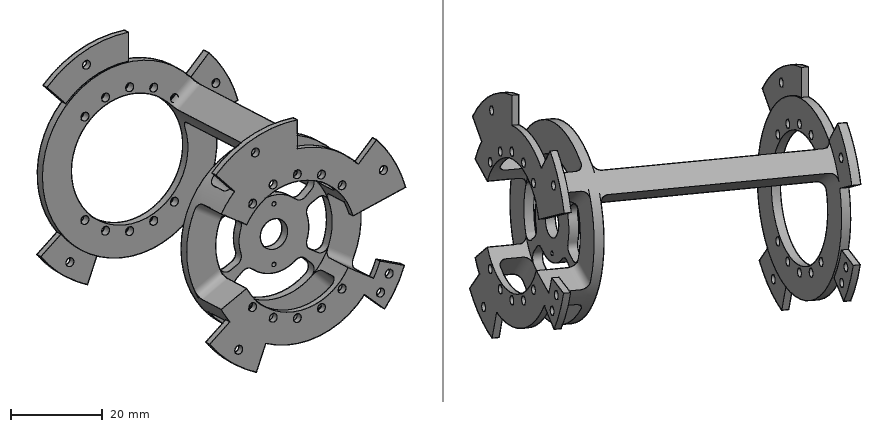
import cadquery as cq
import math

TOTAL_LENGTH = 71.0
END_RING_THICKNESS = 2.2
TAB_THICKNESS = 1.7
DISC_START = 59.0
DISC_THICKNESS = 2.4
DISC_END = DISC_START + DISC_THICKNESS
PLATE_START = TOTAL_LENGTH - TAB_THICKNESS

RING_INNER_RADIUS = 15.0
RING_OUTER_RADIUS = 22.5
TAB_RADIUS = 29.2

TAB_A = (44.0, 90.0, (65.4,))
TAB_B = (134.4, 163.1, (148.7,))
TAB_C = (199.0, 219.6, (204.3, 214.3))
TAB_D = (291.2, 320.7, (305.5,))
TAB_HOLE_CIRCLE = 26.0
TAB_HOLE_DIAMETER = 2.0

RING_HOLE_CIRCLE = 16.6
RING_HOLE_DIAMETER = 2.0
RING_HOLE_PITCH = 22.0
RING_HOLES_PER_GROUP = 5

BORE_DIAMETER = 7.0
PIN_HOLE_DIAMETER = 1.0
PIN_HOLE_CIRCLE = 7.0
HUB_RADIUS = 9.0
WINDOW_FILLET = 2.0

SPOKE_LOW = 29.3
SPOKE_HIGH = 41.4
LONG_BEAM_START = 139.3
LONG_BEAM_END = 154.1
BEAM_FILLET = 2.0
ROOT_OVERLAP = 0.5
BLANK_RADIUS = RING_OUTER_RADIUS + 3


def polar(radius, angle):
    """Point in the cross-section: first coordinate along -Y, second along +Z."""
    return (radius * math.cos(math.radians(angle)), radius * math.sin(math.radians(angle)))


def section_plane(x):
    """Workplane normal to X whose local axes are -Y and +Z; it extrudes towards -X."""
    return cq.Workplane(cq.Plane(origin=(x, 0, 0), xDir=(0, -1, 0), normal=(-1, 0, 0)))


def sector(x_start, x_end, inner, outer, start, end):
    """Annular sector spanning x_start to x_end."""
    middle = (start + end) / 2
    return (
        section_plane(x_end)
        .moveTo(*polar(inner, start))
        .lineTo(*polar(outer, start))
        .threePointArc(polar(outer, middle), polar(outer, end))
        .lineTo(*polar(inner, end))
        .threePointArc(polar(inner, middle), polar(inner, start))
        .close()
        .extrude(x_end - x_start)
    )


def cylinders(x_start, x_end, diameter, points):
    return section_plane(x_end).pushPoints(points).circle(diameter / 2).extrude(x_end - x_start)


def ring(x_start, x_end):
    return (
        section_plane(x_end)
        .circle(RING_OUTER_RADIUS)
        .circle(RING_INNER_RADIUS)
        .extrude(x_end - x_start)
    )


def tab(x_start, x_end, spec, inner=RING_INNER_RADIUS):
    start, end, hole_angles = spec
    holes = [polar(TAB_HOLE_CIRCLE, angle) for angle in hole_angles]
    body = sector(x_start, x_end, inner, TAB_RADIUS, start, end)
    return body.cut(cylinders(x_start, x_end, TAB_HOLE_DIAMETER, holes))


def ring_holes(x_start, x_end):
    half_span = RING_HOLE_PITCH * (RING_HOLES_PER_GROUP - 1) / 2
    points = []
    for group_centre in (90, 270):
        for index in range(RING_HOLES_PER_GROUP):
            angle = group_centre - half_span + index * RING_HOLE_PITCH
            points.append(polar(RING_HOLE_CIRCLE, angle))
    return cylinders(x_start, x_end, RING_HOLE_DIAMETER, points)


def fillet_wedge(x_face, x_sign, angle, side):
    """Concave fillet where a radial beam face meets a plate face at x_face."""
    tangent = (-side * math.sin(math.radians(angle)), side * math.cos(math.radians(angle)))
    radial = polar(1, angle)
    x_dir = (0, -tangent[0], tangent[1])
    normal = (0, -radial[0], radial[1])
    plane = cq.Plane(origin=(x_face, 0, 0), xDir=x_dir, normal=normal)
    along = x_sign if plane.yDir.x > 0 else -x_sign
    corner = BEAM_FILLET * (1 - math.sqrt(0.5))
    wedge = (
        cq.Workplane(plane)
        .moveTo(BEAM_FILLET, 0)
        .threePointArc((corner, along * corner), (0, along * BEAM_FILLET))
        .lineTo(-ROOT_OVERLAP, along * BEAM_FILLET)
        .lineTo(-ROOT_OVERLAP, -along * ROOT_OVERLAP)
        .lineTo(BEAM_FILLET, -along * ROOT_OVERLAP)
        .close()
        .extrude(BLANK_RADIUS)
    )
    return wedge


def beam(x_start, x_end, start, end, fillets):
    """Radial-sided beam trimmed to the ring's inner and outer radii."""
    blank = (
        section_plane(x_end)
        .polyline([(0, 0), polar(BLANK_RADIUS, start), polar(BLANK_RADIUS, end)])
        .close()
        .extrude(x_end - x_start)
    )
    for x_face, x_sign, angle, side in fillets:
        blank = blank.union(fillet_wedge(x_face, x_sign, angle, side))
    return blank.intersect(ring(x_start, x_end))


def end_ring():
    body = ring(0, END_RING_THICKNESS)
    body = body.union(tab(0, END_RING_THICKNESS, TAB_B))
    for spec in (TAB_A, TAB_C, TAB_D):
        body = body.union(tab(0, TAB_THICKNESS, spec))
    return body.cut(ring_holes(0, END_RING_THICKNESS))


def window(start, end):
    body = sector(DISC_START, DISC_END, HUB_RADIUS, RING_INNER_RADIUS, start, end)
    return body.edges("|X").fillet(WINDOW_FILLET)


def middle_disc():
    body = section_plane(DISC_END).circle(RING_OUTER_RADIUS).extrude(DISC_THICKNESS)
    for centre, half in ((0, SPOKE_LOW), (90, 90 - SPOKE_HIGH), (180, SPOKE_LOW), (270, 90 - SPOKE_HIGH)):
        body = body.cut(window(centre - half, centre + half))
    body = body.cut(cylinders(DISC_START, DISC_END, BORE_DIAMETER, [(0, 0)]))
    pins = [(0, PIN_HOLE_CIRCLE), (0, -PIN_HOLE_CIRCLE)]
    return body.cut(cylinders(DISC_START, DISC_END, PIN_HOLE_DIAMETER, pins))


def long_beam():
    fillets = []
    for x_face, x_sign in ((END_RING_THICKNESS, 1), (DISC_START, -1)):
        fillets.append((x_face, x_sign, LONG_BEAM_START, -1))
        fillets.append((x_face, x_sign, LONG_BEAM_END, 1))
    return beam(END_RING_THICKNESS, DISC_START, LONG_BEAM_START, LONG_BEAM_END, fillets)


def short_beam(start, end, plate_fillet):
    """Beam from the disc to the end of the part, above the middle of the disc."""
    fillets = [(DISC_END, 1, start, -1), (DISC_END, 1, end, 1), plate_fillet]
    return beam(DISC_END, TOTAL_LENGTH, start, end, fillets)


def mount_half():
    """Upper arc of the mounting plate with the two short beams that carry it."""
    arc_end = 180 - SPOKE_LOW
    beam_end = 180 - SPOKE_HIGH
    arc = sector(PLATE_START, TOTAL_LENGTH, RING_INNER_RADIUS, RING_OUTER_RADIUS, SPOKE_LOW, arc_end)
    front_beam = short_beam(SPOKE_LOW, SPOKE_HIGH, (PLATE_START, -1, SPOKE_HIGH, 1))
    back_beam = short_beam(beam_end, arc_end, (PLATE_START, -1, beam_end, -1))
    return arc.union(front_beam).union(back_beam)


def mount():
    """Upper and lower halves with the plate's tabs and holes."""
    upper = mount_half()
    body = upper.union(upper.mirror("XY"))
    for spec in (TAB_A, TAB_B, TAB_D):
        body = body.union(tab(PLATE_START, TOTAL_LENGTH, spec))
    body = body.union(tab(PLATE_START, TOTAL_LENGTH, TAB_C, RING_OUTER_RADIUS))
    return body.cut(ring_holes(PLATE_START, TOTAL_LENGTH))


result = end_ring().union(long_beam()).union(middle_disc()).union(mount())